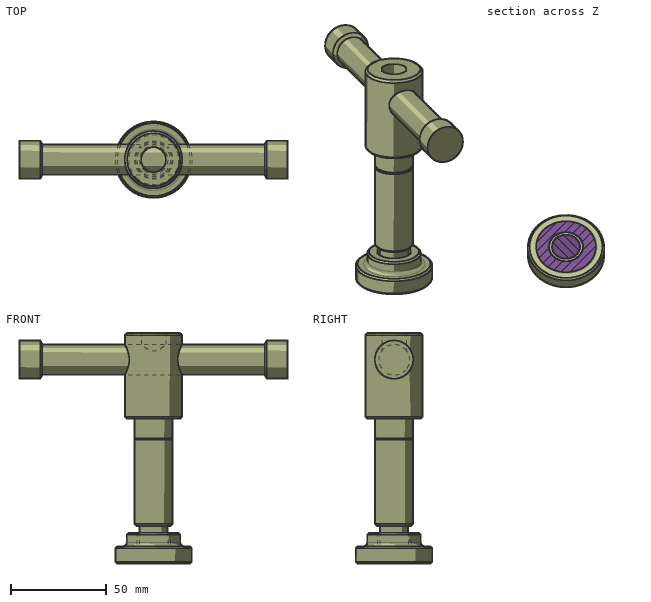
import cadquery as cq
import math

total_height = 120.5

pad_diameter = 40.0
pad_flange_height = 9.0
pad_flange_chamfer = 1.0
pad_boss_diameter = 28.0
pad_height = 16.0
pad_boss_chamfer = 1.0
pad_fillet = 2.0
pad_recess_diameter = 17.6
pad_recess_floor = pad_flange_height

head_diameter = 30.0
head_height = 45.0
head_chamfer = 1.25
head_bottom = total_height - head_height
head_bore_diameter = 13.0
shank_diameter = 20.0
shank_bottom = 19.5
shank_chamfer = 1.25
groove_width = 0.75
groove_depth = 0.5
groove_distance = 10.0
groove_top = head_bottom - groove_distance
stub_diameter = 14.7

bar_length = 140.0
bar_diameter = 16.0
bar_depth = 14.0
bar_height = total_height - bar_depth
knob_diameter = 20.0
knob_length = 12.0
knob_shoulder_angle = 30.0


def make_pad():
    """Chamfered flange and boss joined by a concave fillet, with a blind recess in the top."""
    flange_radius = pad_diameter / 2
    boss_radius = pad_boss_diameter / 2
    recess_radius = pad_recess_diameter / 2
    fillet_inset = pad_fillet * (1 - math.sqrt(0.5))
    return (
        cq.Workplane("XZ")
        .moveTo(0, 0)
        .lineTo(flange_radius - pad_flange_chamfer, 0)
        .lineTo(flange_radius, pad_flange_chamfer)
        .lineTo(flange_radius, pad_flange_height - pad_flange_chamfer)
        .lineTo(flange_radius - pad_flange_chamfer, pad_flange_height)
        .lineTo(boss_radius + pad_fillet, pad_flange_height)
        .threePointArc(
            (boss_radius + fillet_inset, pad_flange_height + fillet_inset),
            (boss_radius, pad_flange_height + pad_fillet),
        )
        .lineTo(boss_radius, pad_height - pad_boss_chamfer)
        .lineTo(boss_radius - pad_boss_chamfer, pad_height)
        .lineTo(recess_radius, pad_height)
        .lineTo(recess_radius, pad_recess_floor)
        .lineTo(0, pad_recess_floor)
        .close()
        .revolve(360, (0, 0, 0), (0, 1, 0))
    )


def make_bar():
    """Round bar along X with a knob at each end, tapered down to the bar."""
    bar_radius = bar_diameter / 2
    knob_radius = knob_diameter / 2
    bar_end = bar_length / 2
    knob_start = bar_end - knob_length
    taper_length = (knob_radius - bar_radius) * math.tan(math.radians(knob_shoulder_angle))
    return (
        cq.Workplane("XZ")
        .moveTo(-bar_end, 0)
        .lineTo(-bar_end, knob_radius)
        .lineTo(-knob_start - taper_length, knob_radius)
        .lineTo(-knob_start, bar_radius)
        .lineTo(knob_start, bar_radius)
        .lineTo(knob_start + taper_length, knob_radius)
        .lineTo(bar_end, knob_radius)
        .lineTo(bar_end, 0)
        .close()
        .revolve(360, (0, 0, 0), (1, 0, 0))
        .translate((0, 0, bar_height))
    )


def make_spindle():
    """Head, grooved shank and stub, with a cross hole for the bar and a bore above it."""
    stub = (
        cq.Workplane("XY")
        .workplane(offset=pad_recess_floor)
        .circle(stub_diameter / 2)
        .extrude(head_bottom - pad_recess_floor)
    )
    shank = (
        cq.Workplane("XY")
        .workplane(offset=shank_bottom)
        .circle(shank_diameter / 2)
        .extrude(head_bottom - shank_bottom)
        .faces("<Z")
        .edges()
        .chamfer(shank_chamfer)
    )
    groove = (
        cq.Workplane("XY")
        .workplane(offset=groove_top - groove_width)
        .circle(shank_diameter / 2)
        .circle(shank_diameter / 2 - groove_depth)
        .extrude(groove_width)
    )
    head = (
        cq.Workplane("XY")
        .workplane(offset=head_bottom)
        .circle(head_diameter / 2)
        .extrude(head_height)
        .edges()
        .chamfer(head_chamfer)
    )
    bore = (
        cq.Workplane("XY")
        .workplane(offset=bar_height)
        .circle(head_bore_diameter / 2)
        .extrude(total_height - bar_height)
    )
    cross_hole = (
        cq.Workplane("YZ")
        .workplane(offset=-head_diameter / 2)
        .center(0, bar_height)
        .circle(bar_diameter / 2)
        .extrude(head_diameter)
    )
    return shank.cut(groove).union(stub).union(head).cut(bore).cut(cross_hole)


pad = make_pad()
spindle = make_spindle()
bar = make_bar()

result = cq.Compound.makeCompound([pad.val(), spindle.val(), bar.val()])